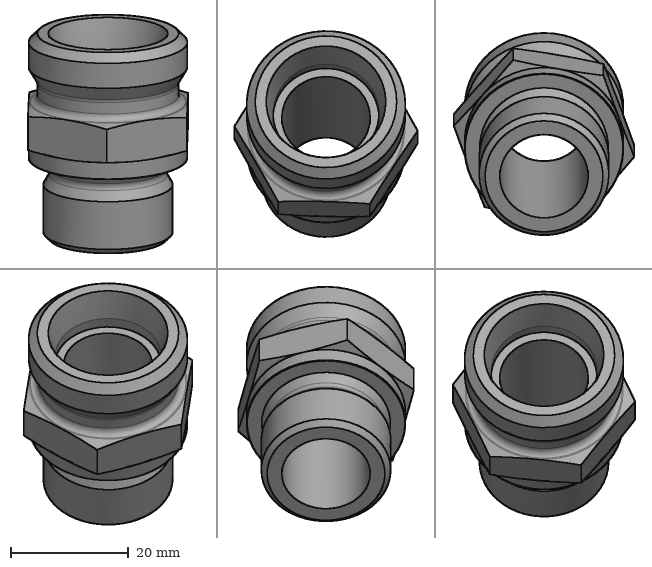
import cadquery as cq
import math


total_height = 36.0
hex_across_flats = 27.0
hex_sides = 6
half_sector = 180 / hex_sides
hex_corner_radius = hex_across_flats / math.sqrt(3)
body_radius = hex_across_flats / 2

stud_radius = 22.0 / 2
stud_end_chamfer = 1.0
stud_top_z = 9.4
flank_angle = math.radians(30)

relief_root_radius = 1.25
relief_flank_depth = 1.0

flange_bottom_z = 14.0
flange_edge_chamfer = 0.1
hex_bottom_z = 17.0
hex_top_z = 24.0
hex_chamfer_angle = math.radians(15)
hex_top_chamfer_radius = 13.4

neck_radius = 24.0 / 2
neck_fillet = 1.2
collar_bottom_z = 30.1
collar_chamfer = 1.5

bore_radius = 15.0 / 2
socket_radius = 18.0 / 2
socket_depth = 7.5
seat_mouth_radius = 20.3 / 2
seat_half_angle = math.radians(12)


def make_turned_body():
    """Solid of revolution: stud, relief groove, flange, upper neck and collar."""
    root_end_radius = stud_radius - relief_flank_depth
    root_lower_z = stud_top_z + relief_flank_depth / math.tan(flank_angle)
    root_half_height = relief_root_radius * math.sin(flank_angle)
    root_mid_z = root_lower_z + root_half_height
    root_upper_z = root_mid_z + root_half_height
    root_radius = root_end_radius - relief_root_radius * (1 - math.cos(flank_angle))
    relief_top_radius = root_end_radius + (flange_bottom_z - root_upper_z) * math.tan(flank_angle)

    neck_bottom_z = hex_top_z + neck_fillet
    neck_flank_z = collar_bottom_z - (body_radius - neck_radius) / math.tan(flank_angle)
    tangent_length = neck_fillet * math.tan(flank_angle / 2)
    neck_top_z = neck_flank_z - tangent_length
    flank_start_radius = neck_radius + tangent_length * math.sin(flank_angle)
    flank_start_z = neck_flank_z + tangent_length * math.cos(flank_angle)
    blend_mid_radius = neck_radius + neck_fillet * (1 - math.cos(flank_angle / 2))
    blend_mid_z = neck_top_z + neck_fillet * math.sin(flank_angle / 2)
    fillet_mid_offset = neck_fillet * (1 - math.cos(math.pi / 4))

    return (
        cq.Workplane("XZ")
        .moveTo(0, 0)
        .lineTo(stud_radius - stud_end_chamfer, 0)
        .lineTo(stud_radius, stud_end_chamfer)
        .lineTo(stud_radius, stud_top_z)
        .lineTo(root_end_radius, root_lower_z)
        .threePointArc((root_radius, root_mid_z), (root_end_radius, root_upper_z))
        .lineTo(relief_top_radius, flange_bottom_z)
        .lineTo(body_radius - flange_edge_chamfer, flange_bottom_z)
        .lineTo(body_radius, flange_bottom_z + flange_edge_chamfer)
        .lineTo(body_radius, hex_bottom_z)
        .lineTo(neck_radius + neck_fillet, hex_bottom_z)
        .lineTo(neck_radius + neck_fillet, hex_top_z)
        .threePointArc(
            (neck_radius + fillet_mid_offset, hex_top_z + fillet_mid_offset),
            (neck_radius, neck_bottom_z),
        )
        .lineTo(neck_radius, neck_top_z)
        .threePointArc((blend_mid_radius, blend_mid_z), (flank_start_radius, flank_start_z))
        .lineTo(body_radius, collar_bottom_z)
        .lineTo(body_radius, total_height - collar_chamfer)
        .lineTo(body_radius - collar_chamfer, total_height)
        .lineTo(0, total_height)
        .close()
        .revolve(360, (0, 0, 0), (0, 1, 0))
    )


def make_hexagon():
    """Hexagon with flats facing +X and -X, its corners chamfered on both ends."""
    top_drop = (hex_corner_radius - hex_top_chamfer_radius) * math.tan(hex_chamfer_angle)
    bottom_drop = (hex_corner_radius - body_radius) * math.tan(hex_chamfer_angle)
    prism = (
        cq.Workplane("XY")
        .workplane(offset=hex_bottom_z)
        .polygon(hex_sides, 2 * hex_corner_radius)
        .extrude(hex_top_z - hex_bottom_z)
        .rotate((0, 0, 0), (0, 0, 1), half_sector)
    )
    chamfer_envelope = (
        cq.Workplane("XZ")
        .moveTo(0, hex_bottom_z)
        .lineTo(body_radius, hex_bottom_z)
        .lineTo(hex_corner_radius, hex_bottom_z + bottom_drop)
        .lineTo(hex_corner_radius, hex_top_z - top_drop)
        .lineTo(hex_top_chamfer_radius, hex_top_z)
        .lineTo(0, hex_top_z)
        .close()
        .revolve(360, (0, 0, 0), (0, 1, 0))
    )
    return prism.intersect(chamfer_envelope)


def make_bore():
    """Through bore, tube socket and conical seat at the upper end."""
    socket_floor_z = total_height - socket_depth
    seat_depth = (seat_mouth_radius - socket_radius) / math.tan(seat_half_angle)
    return (
        cq.Workplane("XZ")
        .moveTo(0, 0)
        .lineTo(bore_radius, 0)
        .lineTo(bore_radius, socket_floor_z)
        .lineTo(socket_radius, socket_floor_z)
        .lineTo(socket_radius, total_height - seat_depth)
        .lineTo(seat_mouth_radius, total_height)
        .lineTo(0, total_height)
        .close()
        .revolve(360, (0, 0, 0), (0, 1, 0))
    )


result = make_turned_body().union(make_hexagon()).cut(make_bore())